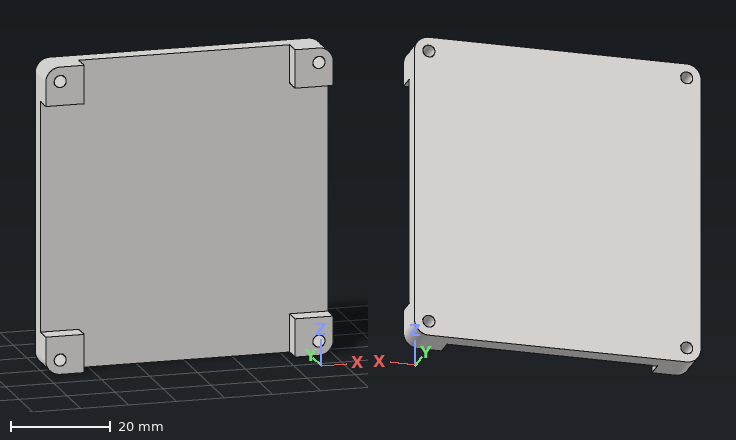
import cadquery as cq

width = 59.95
depth = 8.0
height = 64.0

plate_thickness = depth / 2
pad_size = 8.0
corner_radius = 3.0

hole_diameter = 2.5
hole_spacing_x = width - 2 * corner_radius
hole_spacing_z = height - 2 * corner_radius


def make_block():
    """Full-depth block, centred on the origin, with its four corners rounded."""
    return cq.Workplane("XY").box(width, depth, height).edges("|Y").fillet(corner_radius)


def make_front_recess():
    """Cross-shaped volume in front of the plate that leaves a pad at each corner."""
    recess_depth = depth - plate_thickness
    recess_y = (recess_depth - depth) / 2
    upright = cq.Workplane("XY").box(width - 2 * pad_size, recess_depth, height)
    crossbar = cq.Workplane("XY").box(width, recess_depth, height - 2 * pad_size)
    return upright.union(crossbar).translate((0, recess_y, 0))


def make_screw_holes():
    """Four cylinders running through the pads and the plate."""
    return (
        cq.Workplane("XZ")
        .rect(hole_spacing_x, hole_spacing_z, forConstruction=True)
        .vertices()
        .circle(hole_diameter / 2)
        .extrude(depth, both=True)
    )


result = make_block().cut(make_front_recess()).cut(make_screw_holes())